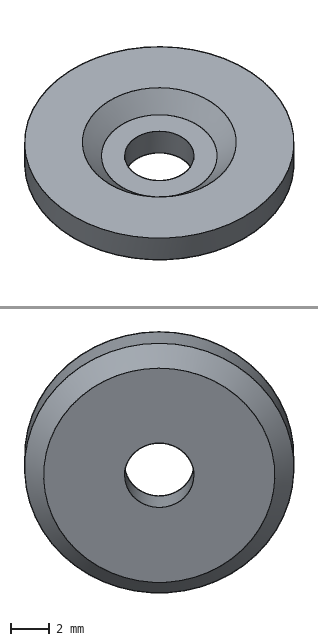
import cadquery as cq

outer_diameter = 14.0
thickness = 2.6
bottom_chamfer = 1.0

recess_top_diameter = 8.0
recess_depth = 1.0
recess_floor_diameter = recess_top_diameter - 2 * recess_depth

hole_diameter = 3.6


def make_disc():
    """Disc standing on Z = 0 with a chamfered lower rim."""
    disc = cq.Workplane("XY").circle(outer_diameter / 2).extrude(thickness)
    return disc.faces("<Z").edges().chamfer(bottom_chamfer)


def make_recess():
    """Truncated cone that widens from the recess floor to the top face."""
    return (
        cq.Workplane("XY", origin=(0, 0, thickness - recess_depth))
        .circle(recess_floor_diameter / 2)
        .workplane(offset=recess_depth)
        .circle(recess_top_diameter / 2)
        .loft(ruled=True)
    )


def make_hole():
    """Cylinder through the full thickness."""
    return cq.Workplane("XY").circle(hole_diameter / 2).extrude(thickness)


result = make_disc().cut(make_recess()).cut(make_hole())